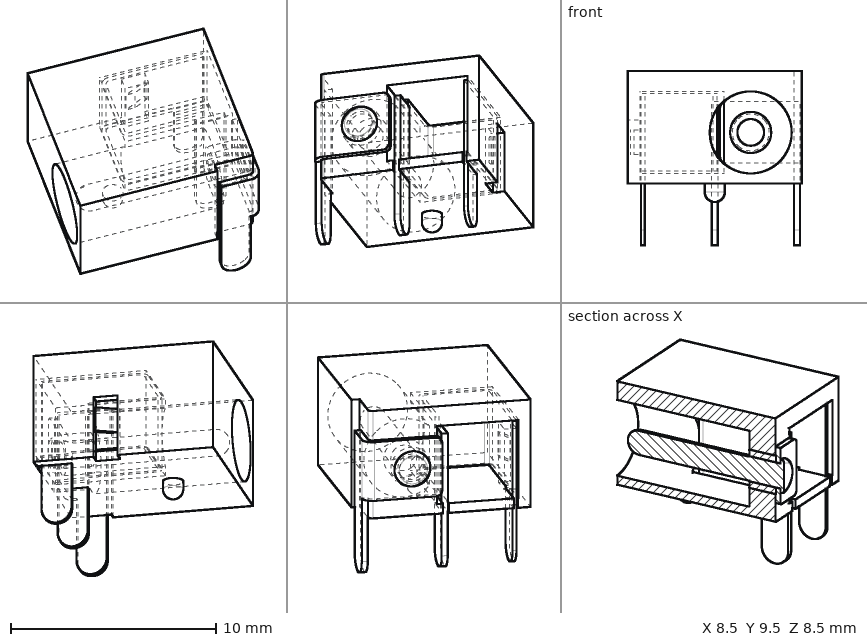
import cadquery as cq
import math


WIDTH = 8.5
DEPTH = 9.0
HEIGHT = 5.5

BORE_X = 6.0
BORE_Z = 2.5
BORE_DIAMETER = 4.0
BORE_DEPTH = 7.5

CAVITY_LEFT = 0.6
CAVITY_RIGHT = 4.7
CAVITY_FLOOR = 0.5
CAVITY_HEIGHT = 2 * (BORE_Z - CAVITY_FLOOR)
CAVITY_FRONT = 3.5

SLOT_FRONT = 4.8
SLOT_WIDTH = 1.2
SLOT_TOP = 3.1

NOTCH_X = 8.1
NOTCH_FRONT = 7.0

POST_DIAMETER = 1.0
POST_Y = 3.0
POST_STRAIGHT = 0.4

LEG_WIDTH = 1.5
LEG_FRONT = 7.25
LEG_REAR = LEG_FRONT + LEG_WIDTH
LEG_LENGTH = 3.0

PLATE_THICKNESS = 0.3
PLATE_LEFT = 4.5
PLATE_HEIGHT = 3.0
PLATE_BOTTOM = BORE_Z - PLATE_HEIGHT / 2
PLATE_TOP = BORE_Z + PLATE_HEIGHT / 2
PLATE_CORNER_RADIUS = 0.3
BEND_INNER_RADIUS = 0.2

SWITCH_X = 4.09

STRIP_THICKNESS = 0.2
STRIP_LEFT = 0.65
STRIP_RIGHT = 4.37
STRIP_CLEARANCE = 0.1
STRIP_BOTTOM = CAVITY_FLOOR + STRIP_CLEARANCE
STRIP_HEIGHT = CAVITY_HEIGHT - 2 * STRIP_CLEARANCE
STRIP_BEND_RADIUS = 0.4

BARB_BOTTOM = 1.42
BARB_HEIGHT = 1.21
BARB_REACH = 0.5
BARB_ANGLE = math.radians(25)

PIN_DIAMETER = 1.3
PIN_TIP_Y = 0.6
COLLAR_DIAMETER = 2.0
HEAD_DIAMETER = 1.8
HEAD_HEIGHT = 0.2
HEAD_FILLET = 0.19


def block(x_range, y_range, z_range):
    """A box spanning the given (low, high) range along each axis."""
    lows, highs = zip(x_range, y_range, z_range)
    sizes = [high - low for low, high in zip(lows, highs)]
    return cq.Workplane("XY").box(*sizes, centered=False).translate(lows)


def bore_cylinder(diameter, front, rear):
    """A cylinder on the bore axis between two Y positions."""
    plane = cq.Workplane("XZ", origin=(BORE_X, front, BORE_Z))
    return plane.circle(diameter / 2).extrude(front - rear)


def solder_blade(left, thickness, top):
    """An upright blade from a given height down to the round end of its solder leg."""
    end_radius = LEG_WIDTH / 2
    round_start = end_radius - LEG_LENGTH
    return (
        cq.Workplane("YZ", origin=(left, 0, 0))
        .moveTo(LEG_FRONT, top)
        .lineTo(LEG_FRONT, round_start)
        .threePointArc((LEG_FRONT + end_radius, -LEG_LENGTH), (LEG_REAR, round_start))
        .lineTo(LEG_REAR, top)
        .close()
        .extrude(thickness)
    )


def leg_slot(left, thickness):
    """The opening in the cavity floor for one leg, open at the rear."""
    return block((left, left + thickness), (LEG_FRONT, DEPTH), (0, CAVITY_FLOOR))


def make_post():
    """A cylinder below the mounting face, ending in a ball of the same radius."""
    radius = POST_DIAMETER / 2
    stem = cq.Workplane("XY", origin=(WIDTH / 2, POST_Y, 0)).circle(radius).extrude(-POST_STRAIGHT)
    ball = cq.Workplane("XY").sphere(radius).translate((WIDTH / 2, POST_Y, -POST_STRAIGHT))
    return stem.union(ball)


def make_housing():
    body = block((0, WIDTH), (0, DEPTH), (0, HEIGHT))
    body = body.cut(block((NOTCH_X, WIDTH), (NOTCH_FRONT, DEPTH), (0, HEIGHT)))
    body = body.edges("|Z").edges(">Y").edges(">X").fillet(BEND_INNER_RADIUS)
    body = body.cut(bore_cylinder(BORE_DIAMETER, 0, BORE_DEPTH))
    body = body.cut(bore_cylinder(COLLAR_DIAMETER, BORE_DEPTH, DEPTH))
    cavity = block(
        (CAVITY_LEFT, CAVITY_RIGHT),
        (CAVITY_FRONT, DEPTH),
        (CAVITY_FLOOR, CAVITY_FLOOR + CAVITY_HEIGHT),
    )
    barb_slot = block((0, CAVITY_LEFT), (SLOT_FRONT, SLOT_FRONT + SLOT_WIDTH), (0, SLOT_TOP))
    body = body.cut(cavity).cut(barb_slot)
    body = body.cut(leg_slot(STRIP_LEFT, STRIP_THICKNESS))
    body = body.cut(leg_slot(SWITCH_X, PLATE_THICKNESS))
    return body.union(make_post())


def make_centre_terminal():
    rear = DEPTH + PLATE_THICKNESS
    right = NOTCH_X + PLATE_THICKNESS
    strip = block((PLATE_LEFT, right), (LEG_FRONT, rear), (PLATE_BOTTOM, PLATE_TOP))
    strip = strip.edges("|Z and >X and >Y").fillet(BEND_INNER_RADIUS + PLATE_THICKNESS)
    inside = block((PLATE_LEFT, NOTCH_X), (LEG_FRONT, DEPTH), (PLATE_BOTTOM, PLATE_TOP))
    inside = inside.edges("|Z and >X and >Y").fillet(BEND_INNER_RADIUS)
    strip = strip.cut(inside)
    strip = strip.edges("|Y and <X").fillet(PLATE_CORNER_RADIUS)
    strip = strip.cut(bore_cylinder(PIN_DIAMETER, DEPTH, rear))
    return strip.union(solder_blade(NOTCH_X, PLATE_THICKNESS, PLATE_TOP))


def make_switch_terminal():
    return solder_blade(SWITCH_X, PLATE_THICKNESS, PLATE_TOP)


def make_barb():
    """A tongue slanting out of the strip, its free end against the rear wall of the slot."""
    slant_x = math.sin(BARB_ANGLE)
    slant_y = math.cos(BARB_ANGLE)
    length = BARB_REACH / slant_x
    outer_tip_x = STRIP_LEFT - BARB_REACH
    inner_tip_x = outer_tip_x + STRIP_THICKNESS * slant_y
    inner_tip_y = SLOT_FRONT + SLOT_WIDTH
    outer_tip_y = inner_tip_y - STRIP_THICKNESS * slant_x
    outline = [
        (outer_tip_x, outer_tip_y),
        (inner_tip_x, inner_tip_y),
        (inner_tip_x + length * slant_x, inner_tip_y - length * slant_y),
        (outer_tip_x + length * slant_x, outer_tip_y - length * slant_y),
    ]
    plane = cq.Workplane("XY", origin=(0, 0, BARB_BOTTOM))
    return plane.polyline(outline).close().extrude(BARB_HEIGHT)


def make_spring_terminal():
    z_range = (STRIP_BOTTOM, STRIP_BOTTOM + STRIP_HEIGHT)
    outer = block((STRIP_LEFT, STRIP_RIGHT), (CAVITY_FRONT, LEG_FRONT), z_range)
    outer = outer.edges("|Z and <Y").fillet(STRIP_BEND_RADIUS)
    inner = block(
        (STRIP_LEFT + STRIP_THICKNESS, STRIP_RIGHT - STRIP_THICKNESS),
        (CAVITY_FRONT + STRIP_THICKNESS, LEG_FRONT),
        z_range,
    )
    inner = inner.edges("|Z and <Y").fillet(STRIP_BEND_RADIUS - STRIP_THICKNESS)
    leg = solder_blade(STRIP_LEFT, STRIP_THICKNESS, z_range[1])
    return outer.cut(inner).union(leg).union(make_barb())


def make_collar():
    collar = bore_cylinder(COLLAR_DIAMETER, BORE_DEPTH, DEPTH)
    return collar.cut(bore_cylinder(PIN_DIAMETER, BORE_DEPTH, DEPTH))


def make_pin():
    radius = PIN_DIAMETER / 2
    head_start = DEPTH + PLATE_THICKNESS
    ball_y = PIN_TIP_Y + radius
    shank = bore_cylinder(PIN_DIAMETER, ball_y, head_start)
    tip = cq.Workplane("XY").sphere(radius).translate((BORE_X, ball_y, BORE_Z))
    head = bore_cylinder(HEAD_DIAMETER, head_start, head_start + HEAD_HEIGHT)
    head = head.faces(">Y").edges().fillet(HEAD_FILLET)
    return shank.union(tip).union(head)


housing = make_housing()
centre_terminal = make_centre_terminal()
switch_terminal = make_switch_terminal()
spring_terminal = make_spring_terminal()
collar = make_collar()
pin = make_pin()

bodies = [housing, centre_terminal, switch_terminal, spring_terminal, collar, pin]
result = cq.Compound.makeCompound([body.solids().val() for body in bodies])